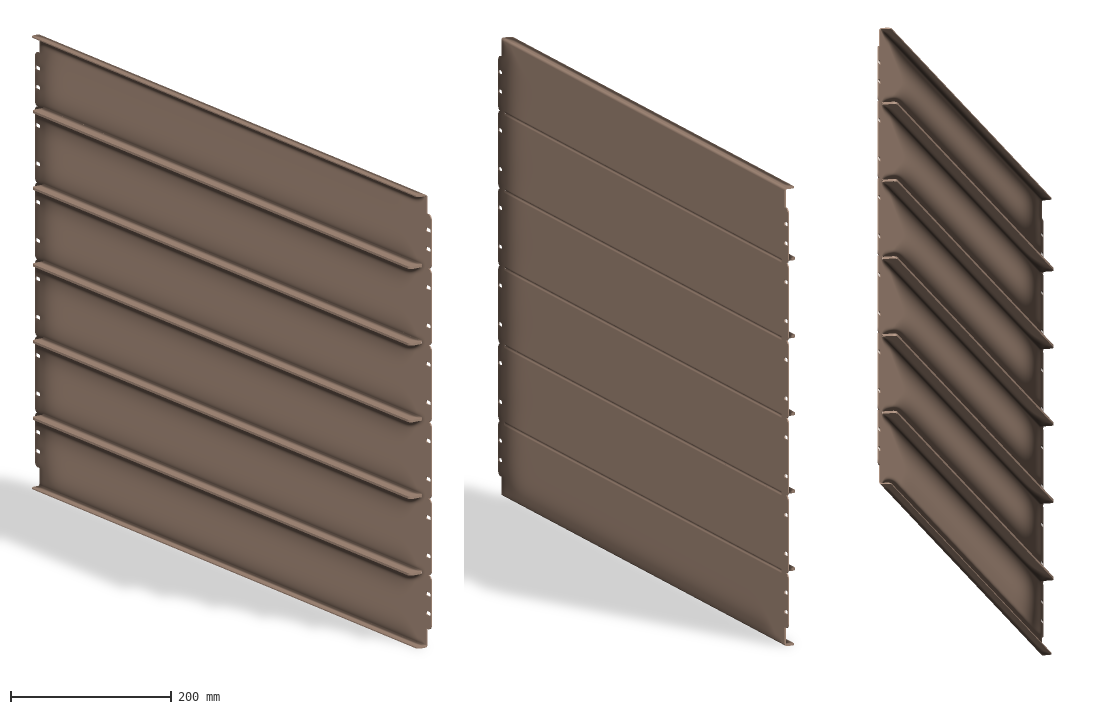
import cadquery as cq
TOTAL_LENGTH = 876.5
TOTAL_DEPTH = 20.0
TOTAL_HEIGHT = 590.0

MIDDLE_PANEL_COUNT = 4
MIDDLE_PANEL_HEIGHT = 100.0
END_PANEL_HEIGHT = (TOTAL_HEIGHT - MIDDLE_PANEL_COUNT * MIDDLE_PANEL_HEIGHT) / 2

SHEET = 1.5
BEND_INNER_RADIUS = 1.6
BEND_OUTER_RADIUS = BEND_INNER_RADIUS + SHEET

JOINT_FLANGE_DEPTH = TOTAL_DEPTH
JOINT_FLANGE_INSET = 19.0
RIM_FLANGE_DEPTH = 15.0
RIM_FLANGE_INSET = 10.0
FLANGE_CORNER_RADIUS = 5.0

PLATE_CORNER_RADIUS = 6.0
RIM_NOTCH_HEIGHT = 24.5

SLOT_LENGTH = 10.5
SLOT_HEIGHT = 5.0
SLOT_FROM_END = 6.0
SLOT_SPACING = 25.0

BACK_Y = TOTAL_DEPTH / 2


def flat_plate(height):
    """Flat sheet with square corners from Z = 0 to `height`, its back at BACK_Y."""
    plate = cq.Workplane("XY").box(TOTAL_LENGTH, SHEET, height, centered=(True, False, False))
    return plate.translate((0, BACK_Y - SHEET, 0))


def round_end_corners(plate):
    """Round the plate corners that lie on its two short ends."""
    end_edges = plate.faces("<X or >X").edges("|Y")
    return end_edges.fillet(PLATE_CORNER_RADIUS)


def bent_flange(depth, inset):
    """Bend and flange along the lower edge of a plate, at Z = 0."""
    length = TOTAL_LENGTH - 2 * inset
    front_y = BACK_Y - depth
    bend_y = BACK_Y - BEND_OUTER_RADIUS
    flange = (
        cq.Workplane("YZ")
        .moveTo(front_y, 0)
        .lineTo(bend_y, 0)
        .radiusArc((BACK_Y, BEND_OUTER_RADIUS), -BEND_OUTER_RADIUS)
        .lineTo(BACK_Y - SHEET, BEND_OUTER_RADIUS)
        .radiusArc((bend_y, SHEET), BEND_INNER_RADIUS)
        .lineTo(front_y, SHEET)
        .close()
        .extrude(length / 2, both=True)
    )
    return flange.edges("|Z and <Y").fillet(FLANGE_CORNER_RADIUS)


def add_lower_flange(panel, depth, inset):
    """Replace the strip along the lower edge of the plate by a bend and a flange."""
    strip = cq.Workplane("XY").box(
        TOTAL_LENGTH - 2 * inset, TOTAL_DEPTH * 2, BEND_OUTER_RADIUS, centered=(True, True, False)
    )
    return panel.cut(strip).union(bent_flange(depth, inset))


def cut_rim_notches(panel):
    """Cut back both ends of the plate next to the outer rim, at Z = 0."""
    for side in (-1, 1):
        notch = cq.Workplane("XY").box(2 * RIM_FLANGE_INSET, TOTAL_DEPTH * 2, 2 * RIM_NOTCH_HEIGHT)
        panel = panel.cut(notch.translate((side * TOTAL_LENGTH / 2, 0, 0)))
    return panel


def cut_slots(panel, heights):
    """Cut a horizontal slot through the plate at both ends for each given height."""
    slot_x = TOTAL_LENGTH / 2 - SLOT_FROM_END
    points = [(x, z) for x in (-slot_x, slot_x) for z in heights]
    slots = (
        cq.Workplane("XZ")
        .pushPoints(points)
        .slot2D(SLOT_LENGTH, SLOT_HEIGHT)
        .extrude(TOTAL_DEPTH, both=True)
    )
    return panel.cut(slots)


def upside_down(panel, height):
    """Turn a panel over so that its lower and upper edges change places."""
    return panel.mirror("XY").translate((0, 0, height))


def middle_panel():
    """Panel with a joint flange along both long edges."""
    height = MIDDLE_PANEL_HEIGHT
    panel = round_end_corners(flat_plate(height))
    panel = add_lower_flange(panel, JOINT_FLANGE_DEPTH, JOINT_FLANGE_INSET)
    panel = upside_down(panel, height)
    panel = add_lower_flange(panel, JOINT_FLANGE_DEPTH, JOINT_FLANGE_INSET)
    return cut_slots(panel, [SLOT_SPACING, height - SLOT_SPACING])


def end_panel():
    """Panel with a shallow rim flange along its lower edge and a joint flange along its upper edge."""
    height = END_PANEL_HEIGHT
    panel = round_end_corners(cut_rim_notches(flat_plate(height)))
    panel = add_lower_flange(panel, RIM_FLANGE_DEPTH, RIM_FLANGE_INSET)
    panel = upside_down(panel, height)
    panel = add_lower_flange(panel, JOINT_FLANGE_DEPTH, JOINT_FLANGE_INSET)
    panel = upside_down(panel, height)
    return cut_slots(panel, [height - SLOT_SPACING, height - 2 * SLOT_SPACING])


BOTTOM_Z = -TOTAL_HEIGHT / 2
FIRST_JOINT_Z = BOTTOM_Z + END_PANEL_HEIGHT
LAST_JOINT_Z = FIRST_JOINT_Z + MIDDLE_PANEL_COUNT * MIDDLE_PANEL_HEIGHT

bottom_panel = end_panel().translate((0, 0, BOTTOM_Z))
top_panel = upside_down(end_panel(), END_PANEL_HEIGHT).translate((0, 0, LAST_JOINT_Z))
middle_panels = [
    middle_panel().translate((0, 0, FIRST_JOINT_Z + i * MIDDLE_PANEL_HEIGHT))
    for i in range(MIDDLE_PANEL_COUNT)
]

result = cq.Compound.makeCompound(
    [bottom_panel.val(), *[panel.val() for panel in middle_panels], top_panel.val()]
)